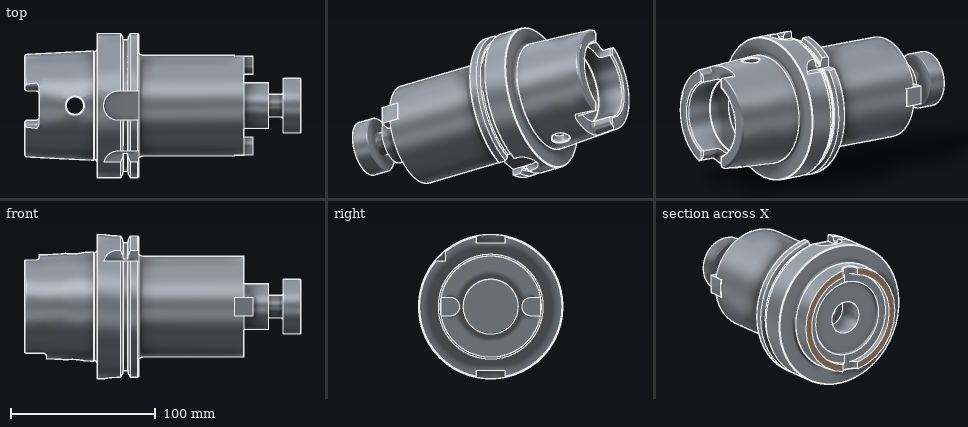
import cadquery as cq
import math


SHANK_LENGTH = 50.0
GAUGE_RADIUS = 37.5
GAUGE_X = -10.0
TAPER_SLOPE = 1 / 20
SHANK_END_ROUND = 2.0
TAPER_END_X = -2.3
FACE_INNER_RADIUS = 39.0
UNDERCUT_DEPTH = 0.5
UNDERCUT_SAG = -0.45

CAVITY_RADIUS = 53.0 / 2
MOUTH_RADIUS = 27.3
MOUTH_CHAMFER_LENGTH = 1.4
FRONT_BORE_DEPTH = 19.7
STEP_LENGTH = 0.4
REAR_BORE_RADIUS = 26.2
RECESS_START_DEPTH = 36.3
RECESS_END_DEPTH = 40.4
RECESS_RADIUS = 32.0
FLOOR_DEPTH = 42.5
FLOOR_FILLET = 1.2
COOLANT_THREAD_DIAMETER = 22.38
COOLANT_THREAD_DEPTH = 20.0
COOLANT_HOLE_DIAMETER = 10.0

DRIVE_SLOT_WIDTH = 20.0
UPPER_SLOT_DEPTH = 10.0
LOWER_SLOT_DEPTH = 15.0
SLOT_FLOOR_FILLET = 2.1
SLOT_EDGE_ROUND = 5.0
SLOT_ROUND_START_Z = 27.3
SLOT_MOUTH_CHAMFER = 1.3
CROSS_HOLE_DIAMETER = 12.0
CROSS_HOLE_X = -15.2
CROSS_HOLE_CHAMFER = 0.6
CROSS_HOLE_RIM_Z = 32.0

FLANGE_RADIUS = 50.0
FLANGE_WIDTH = 29.0
FLANGE_FRONT_CHAMFER = 0.5
FLANGE_REAR_CHAMFER = 0.8
GROOVE_RADIUS = 45.6
GROOVE_CENTER_X = 19.8
GROOVE_WIDTH = 3.7
GROOVE_FLANK_DEPTH = 2.7
GROOVE_FLOOR_FILLET = 0.5
GROOVE_FLANK_ANGLE = 30.0
NOTCH_WIDTH = 20.0
NOTCH_START_X = 4.6
NOTCH_FLOOR_Z = 44.0
CORNER_NOTCH_EDGE = 31.4

BODY_RADIUS = 35.0
BODY_END_X = 101.6
BODY_ROOT_RADIUS = 36.3
BODY_ROOT_LENGTH = 2.9
PILOT_RADIUS = 31.75 / 2
PILOT_LENGTH = 17.2

KEY_WIDTH = 12.7
KEY_PROJECTION = KEY_WIDTH / 2
KEY_OUTER_Y = 34.25

SCREW_RADIUS = 15.88 / 2
SCREW_HEAD_RADIUS = 38.1 / 2
SCREW_HEAD_LENGTH = 12.5
SCREW_HEAD_ROUND = 1.0
SCREW_NECK_FILLET = 1.0
SCREW_INSERTION = 25.0
SCREW_END_X = 191.08 - SHANK_LENGTH

PILOT_END_X = BODY_END_X + PILOT_LENGTH
SCREW_TIP_X = PILOT_END_X - SCREW_INSERTION
FLOOR_X = FLOOR_DEPTH - SHANK_LENGTH


def revolve(profile):
    return profile.close().revolve(360, (0, 0, 0), (1, 0, 0))


def cylinder(x_start, x_end, diameter):
    return cq.Workplane("YZ", origin=(x_start, 0, 0)).circle(diameter / 2).extrude(x_end - x_start)


def taper_radius(x):
    return GAUGE_RADIUS + (x - GAUGE_X) * TAPER_SLOPE


def make_holder_blank():
    end_x = -SHANK_LENGTH
    round_x = end_x + SHANK_END_ROUND
    end_radius = taper_radius(round_x) - SHANK_END_ROUND
    arc_shift = SHANK_END_ROUND * (1 - math.sqrt(0.5))
    rise = BODY_ROOT_RADIUS - BODY_RADIUS
    root_radius = (BODY_ROOT_LENGTH**2 + rise**2) / (2 * rise)
    root_mid_x = FLANGE_WIDTH + BODY_ROOT_LENGTH / 2
    root_mid_r = BODY_RADIUS + root_radius - math.sqrt(root_radius**2 - (BODY_ROOT_LENGTH / 2) ** 2)
    profile = (
        cq.Workplane("XY")
        .moveTo(end_x, 0)
        .lineTo(end_x, end_radius)
        .threePointArc(
            (end_x + arc_shift, taper_radius(round_x) - arc_shift),
            (round_x, taper_radius(round_x)),
        )
        .lineTo(TAPER_END_X, taper_radius(TAPER_END_X))
        .lineTo(TAPER_END_X + UNDERCUT_DEPTH, taper_radius(TAPER_END_X) - UNDERCUT_DEPTH)
        .sagittaArc((0, FACE_INNER_RADIUS), UNDERCUT_SAG)
        .lineTo(0, FLANGE_RADIUS - FLANGE_FRONT_CHAMFER)
        .lineTo(FLANGE_FRONT_CHAMFER, FLANGE_RADIUS)
        .lineTo(FLANGE_WIDTH - FLANGE_REAR_CHAMFER, FLANGE_RADIUS)
        .lineTo(FLANGE_WIDTH, FLANGE_RADIUS - FLANGE_REAR_CHAMFER)
        .lineTo(FLANGE_WIDTH, BODY_ROOT_RADIUS)
        .threePointArc((root_mid_x, root_mid_r), (FLANGE_WIDTH + BODY_ROOT_LENGTH, BODY_RADIUS))
        .lineTo(BODY_END_X, BODY_RADIUS)
        .lineTo(BODY_END_X, PILOT_RADIUS)
        .lineTo(PILOT_END_X, PILOT_RADIUS)
        .lineTo(PILOT_END_X, 0)
    )
    return revolve(profile)


def make_cavity():
    end_x = -SHANK_LENGTH
    step_x = end_x + FRONT_BORE_DEPTH
    profile = (
        cq.Workplane("XY")
        .moveTo(end_x, 0)
        .lineTo(end_x, MOUTH_RADIUS)
        .lineTo(end_x + MOUTH_CHAMFER_LENGTH, CAVITY_RADIUS)
        .lineTo(step_x, CAVITY_RADIUS)
        .lineTo(step_x + STEP_LENGTH, REAR_BORE_RADIUS)
        .lineTo(end_x + RECESS_START_DEPTH, REAR_BORE_RADIUS)
        .lineTo(end_x + RECESS_START_DEPTH, RECESS_RADIUS)
        .lineTo(end_x + RECESS_END_DEPTH, RECESS_RADIUS)
        .lineTo(end_x + RECESS_END_DEPTH, REAR_BORE_RADIUS)
        .lineTo(FLOOR_X, REAR_BORE_RADIUS)
        .lineTo(FLOOR_X, 0)
    )
    return revolve(profile).faces(">X").edges().fillet(FLOOR_FILLET)


def make_coolant_bore():
    thread = cylinder(FLOOR_X, FLOOR_X + COOLANT_THREAD_DEPTH, COOLANT_THREAD_DIAMETER)
    return thread.union(cylinder(FLOOR_X, SCREW_TIP_X, COOLANT_HOLE_DIAMETER))


def make_drive_slot(depth):
    """Slot across the +Z wall; its side walls flare outward along a round of the outer edges."""
    half = DRIVE_SLOT_WIDTH / 2
    flare = half + SLOT_EDGE_ROUND
    arc_shift = SLOT_EDGE_ROUND * math.sqrt(0.5)
    top = SLOT_ROUND_START_Z + SLOT_EDGE_ROUND
    slot = (
        cq.Workplane("YZ", origin=(-SHANK_LENGTH, 0, 0))
        .moveTo(-half, 0)
        .lineTo(half, 0)
        .lineTo(half, SLOT_ROUND_START_Z)
        .threePointArc((flare - arc_shift, SLOT_ROUND_START_Z + arc_shift), (flare, top))
        .lineTo(flare + SLOT_EDGE_ROUND, top)
        .lineTo(flare + SLOT_EDGE_ROUND, FLANGE_RADIUS)
        .lineTo(-flare - SLOT_EDGE_ROUND, FLANGE_RADIUS)
        .lineTo(-flare - SLOT_EDGE_ROUND, top)
        .lineTo(-flare, top)
        .threePointArc((arc_shift - flare, SLOT_ROUND_START_Z + arc_shift), (-half, SLOT_ROUND_START_Z))
        .close()
        .extrude(depth)
    )
    mouth = (
        cq.Workplane("XY")
        .moveTo(-SHANK_LENGTH, -half - SLOT_MOUTH_CHAMFER)
        .lineTo(-SHANK_LENGTH, half + SLOT_MOUTH_CHAMFER)
        .lineTo(SLOT_MOUTH_CHAMFER - SHANK_LENGTH, half)
        .lineTo(SLOT_MOUTH_CHAMFER - SHANK_LENGTH, -half)
        .close()
        .extrude(SLOT_ROUND_START_Z + SLOT_EDGE_ROUND)
    )
    return slot.faces(">X").edges().fillet(SLOT_FLOOR_FILLET).union(mouth)


def make_gripper_groove():
    half_floor = GROOVE_WIDTH / 2
    half_top = half_floor + GROOVE_FLANK_DEPTH * math.tan(math.radians(GROOVE_FLANK_ANGLE))
    flank_radius = FLANGE_RADIUS - GROOVE_FLANK_DEPTH
    profile = (
        cq.Workplane("XY")
        .moveTo(GROOVE_CENTER_X - half_floor, GROOVE_RADIUS)
        .lineTo(GROOVE_CENTER_X - half_floor, flank_radius)
        .lineTo(GROOVE_CENTER_X - half_top, FLANGE_RADIUS)
        .lineTo(GROOVE_CENTER_X + half_top, FLANGE_RADIUS)
        .lineTo(GROOVE_CENTER_X + half_floor, flank_radius)
        .lineTo(GROOVE_CENTER_X + half_floor, GROOVE_RADIUS)
    )
    floor = cq.selectors.RadiusNthSelector(0)
    return revolve(profile).edges(floor).fillet(GROOVE_FLOOR_FILLET)


def make_notch(center_y, floor_z):
    """Round-ended notch milled along -Z, open at the rear face of the flange."""
    radius = NOTCH_WIDTH / 2
    center_x = NOTCH_START_X + radius
    return (
        cq.Workplane("XY", origin=(0, center_y, floor_z))
        .moveTo(FLANGE_WIDTH, -radius)
        .lineTo(center_x, -radius)
        .threePointArc((NOTCH_START_X, 0), (center_x, radius))
        .lineTo(FLANGE_WIDTH, radius)
        .close()
        .extrude(FLANGE_RADIUS)
    )


def make_key():
    """Key on the +Y side: flat outside, half round toward the axis."""
    half = KEY_WIDTH / 2
    round_y = KEY_OUTER_Y - half
    return (
        cq.Workplane("YZ", origin=(BODY_END_X - KEY_PROJECTION, 0, 0))
        .moveTo(KEY_OUTER_Y, half)
        .lineTo(round_y, half)
        .threePointArc((round_y - half, 0), (round_y, -half))
        .lineTo(KEY_OUTER_Y, -half)
        .close()
        .extrude(KEY_WIDTH)
    )


def make_key_seat():
    """Recess of the key's section, open to the outside of the body."""
    half = KEY_WIDTH / 2
    outlet = (
        cq.Workplane("XY")
        .box(KEY_WIDTH, BODY_RADIUS, KEY_WIDTH, centered=(False, False, True))
        .translate((BODY_END_X - half, KEY_OUTER_Y, 0))
    )
    return make_key().union(outlet)


def half_turn(shape):
    return shape.rotate((0, 0, 0), (1, 0, 0), 180)


def make_holder():
    holder = make_holder_blank().cut(make_cavity()).cut(make_coolant_bore())
    holder = holder.cut(make_drive_slot(UPPER_SLOT_DEPTH))
    holder = holder.cut(half_turn(make_drive_slot(LOWER_SLOT_DEPTH)))
    cross_hole = (
        cq.Workplane("XY", origin=(CROSS_HOLE_X, 0, 0))
        .circle(CROSS_HOLE_DIAMETER / 2)
        .extrude(FLANGE_RADIUS, both=True)
    )
    holder = holder.cut(cross_hole)
    for side in (1, -1):
        rim = cq.selectors.BoxSelector(
            (CROSS_HOLE_X - CROSS_HOLE_DIAMETER, -CROSS_HOLE_DIAMETER, side * CROSS_HOLE_RIM_Z),
            (CROSS_HOLE_X + CROSS_HOLE_DIAMETER, CROSS_HOLE_DIAMETER, side * FLANGE_RADIUS),
        )
        holder = holder.edges(rim).chamfer(CROSS_HOLE_CHAMFER)
    holder = holder.cut(make_gripper_groove())
    center_notch = make_notch(0, NOTCH_FLOOR_Z)
    holder = holder.cut(center_notch).cut(half_turn(center_notch))
    holder = holder.cut(make_notch(-CORNER_NOTCH_EDGE - NOTCH_WIDTH / 2, CORNER_NOTCH_EDGE))
    holder = holder.cut(make_key_seat()).cut(half_turn(make_key_seat()))
    return holder.cut(cylinder(SCREW_TIP_X, PILOT_END_X, 2 * SCREW_RADIUS))


def make_screw():
    head_x = SCREW_END_X - SCREW_HEAD_LENGTH
    head = cylinder(head_x, SCREW_END_X, 2 * SCREW_HEAD_RADIUS).edges().fillet(SCREW_HEAD_ROUND)
    screw = head.union(cylinder(SCREW_TIP_X, head_x, 2 * SCREW_RADIUS))
    neck = cq.selectors.BoxSelector(
        (head_x - 0.1, -10, -10),
        (head_x + 0.1, 10, 10),
    )
    return screw.edges(neck).fillet(SCREW_NECK_FILLET)


holder = make_holder()
keys = [make_key(), half_turn(make_key())]
screw = make_screw()

result = cq.Compound.makeCompound([holder.val(), *[key.val() for key in keys], screw.val()])